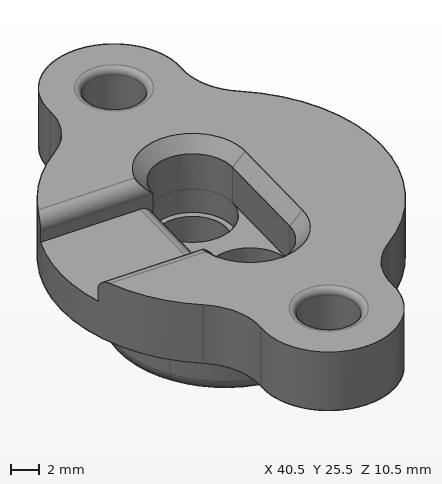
import cadquery as cq
import math

disc_radius = 12.725
overall_length = 40.45
ear_spacing = 30.02
ear_x = ear_spacing / 2
ear_radius = overall_length / 2 - ear_x
blend_radius = 5.0
flange_height = 4.98

spigot_depth = 5.55
seam_x = 4.85
seam_y = -6.85
spigot_back_y = 8.95
spigot_front_y = -8.38
spigot_edge_radius = 1.0

screw_diameter = 4.5
screw_edge_radius = 0.5

hole_spacing = 8.0
hole_diameter = 5.4
pocket_width = 6.3
pocket_depth = 4.0
step_depth = 2.0
pocket_chamfer = 1.0

slot_width = hole_spacing
slot_depth = 2.0
slot_edge_radius = 1.0

ear_points = [(-ear_x, 0), (ear_x, 0)]
hole_points = [(-hole_spacing / 2, 0), (hole_spacing / 2, 0)]


def toward(start, end, distance):
    """Point at a distance from start along the line to end."""
    length = math.dist(start, end)
    return tuple(a + (b - a) * distance / length for a, b in zip(start, end))


def make_flange():
    disc_reach = disc_radius + blend_radius
    ear_reach = ear_radius + blend_radius
    blend_x = (disc_reach**2 - ear_reach**2 + ear_x**2) / (2 * ear_x)
    blend = (blend_x, math.sqrt(disc_reach**2 - blend_x**2))
    ear = (ear_x, 0)
    disc_tangent = toward((0, 0), blend, disc_radius)
    ear_tangent = toward(ear, blend, ear_radius)
    middle = tuple((a + b) / 2 for a, b in zip(disc_tangent, ear_tangent))
    blend_middle = toward(blend, middle, blend_radius)

    def place(point, side_x, side_y):
        return (side_x * point[0], side_y * point[1])

    outline = (
        cq.Workplane("XY")
        .moveTo(*place(disc_tangent, -1, 1))
        .threePointArc((0, disc_radius), disc_tangent)
        .threePointArc(blend_middle, ear_tangent)
        .threePointArc((ear_x + ear_radius, 0), place(ear_tangent, 1, -1))
        .threePointArc(place(blend_middle, 1, -1), place(disc_tangent, 1, -1))
        .threePointArc((0, -disc_radius), place(disc_tangent, -1, -1))
        .threePointArc(place(blend_middle, -1, -1), place(ear_tangent, -1, -1))
        .threePointArc((-ear_x - ear_radius, 0), place(ear_tangent, -1, 1))
        .threePointArc(place(blend_middle, -1, 1), place(disc_tangent, -1, 1))
        .close()
    )
    flange = outline.extrude(flange_height)
    screw_holes = cq.Workplane("XY").pushPoints(ear_points).circle(screw_diameter / 2).extrude(flange_height)
    flange = flange.cut(screw_holes)
    screw_edges = flange.faces(">Z").edges("%CIRCLE").edges(cq.selectors.RadiusNthSelector(0))
    return screw_edges.fillet(screw_edge_radius)


def make_spigot():
    return (
        cq.Workplane("XY")
        .moveTo(-seam_x, seam_y)
        .threePointArc((0, spigot_back_y), (seam_x, seam_y))
        .threePointArc((0, spigot_front_y), (-seam_x, seam_y))
        .close()
        .extrude(-spigot_depth)
        .faces("<Z")
        .edges()
        .fillet(spigot_edge_radius)
    )


def make_pocket():
    """Oblong pocket that flares outward at the top face."""
    mouth_width = pocket_width + 2 * pocket_chamfer
    pocket = (
        cq.Workplane("XY", origin=(0, 0, flange_height))
        .slot2D(hole_spacing + pocket_width, pocket_width)
        .extrude(-pocket_depth)
    )
    mouth = (
        cq.Workplane("XY", origin=(0, 0, flange_height))
        .slot2D(hole_spacing + mouth_width, mouth_width)
        .extrude(-pocket_chamfer, taper=45)
    )
    return pocket.union(mouth)


def make_holes():
    """Through holes, each with a wider step below the pocket floor in line with the pocket ends."""
    pocket_edge = cq.Workplane("XY", origin=(0, 0, flange_height - pocket_chamfer)).pushPoints(hole_points)
    steps = pocket_edge.circle(pocket_width / 2).extrude(pocket_chamfer - pocket_depth - step_depth)
    bores = pocket_edge.circle(hole_diameter / 2).extrude(-flange_height - spigot_depth)
    return steps.union(bores)


def make_slot():
    """Slot with rounded upper side edges and a rounded lip where its floor meets the pocket."""
    half = slot_width / 2
    floor_z = flange_height - slot_depth
    round_z = flange_height - slot_edge_radius
    mouth_half = half + slot_edge_radius
    lip_y = -pocket_width / 2
    corner = slot_edge_radius * (1 - math.sqrt(0.5))
    channel = (
        cq.Workplane("XZ")
        .moveTo(-half, floor_z)
        .lineTo(half, floor_z)
        .lineTo(half, round_z)
        .threePointArc((half + corner, flange_height - corner), (mouth_half, flange_height))
        .lineTo(-mouth_half, flange_height)
        .threePointArc((-half - corner, flange_height - corner), (-half, round_z))
        .close()
        .extrude(disc_radius)
    )
    lip = (
        cq.Workplane("YZ", origin=(-half, 0, 0))
        .moveTo(lip_y - slot_edge_radius, floor_z)
        .threePointArc((lip_y - corner, floor_z - corner), (lip_y, floor_z - slot_edge_radius))
        .lineTo(lip_y, floor_z)
        .close()
        .extrude(slot_width)
    )
    return channel.union(lip)


result = (
    make_flange()
    .union(make_spigot())
    .cut(make_pocket().union(make_holes()).clean())
    .cut(make_slot())
)